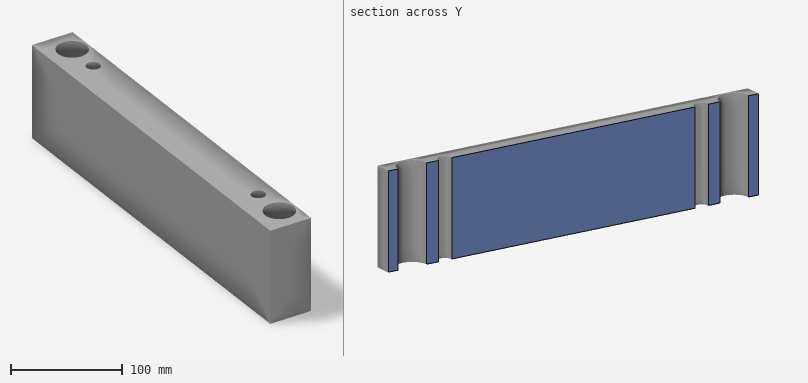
import cadquery as cq

length = 396.0
thickness = 43.0
height = 96.0

large_diameter = 30.0
large_spacing = 344.0
small_diameter = 14.0
small_spacing = 274.0
back_face_to_hole_axis = 17.0

hole_y = thickness / 2 - back_face_to_hole_axis


def drill_pair(body, diameter, spacing):
    """Drill two holes through the full height, centred on the length."""
    centers = [(-spacing / 2, hole_y), (spacing / 2, hole_y)]
    return body.faces(">Z").workplane(origin=(0, 0, height)).pushPoints(centers).hole(diameter)


block = cq.Workplane("XY").box(length, thickness, height, centered=(True, True, False))
block = drill_pair(block, large_diameter, large_spacing)
result = drill_pair(block, small_diameter, small_spacing)